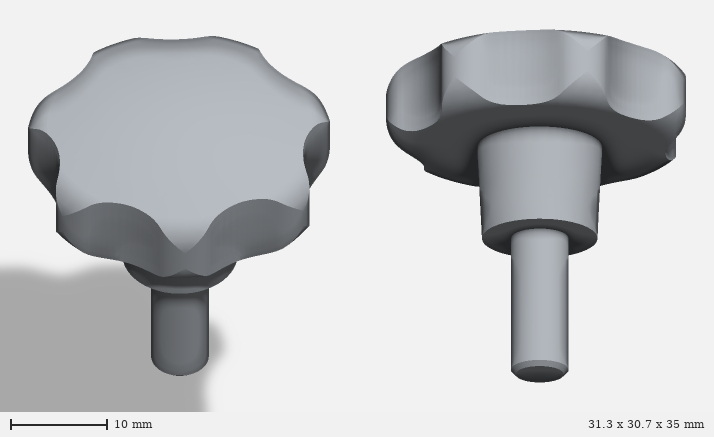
import cadquery as cq
import math

LOBE_COUNT = 7
HEAD_RADIUS = 16.0
LOBE_RADIUS = 3.0
VALLEY_RADIUS = 8.0
FIRST_LOBE_ANGLE = -90.0

HEAD_HEIGHT = 10.0
DOME_RADIUS = 50.0
RIM_RADIUS = 3.0

NECK_LENGTH = 10.0
NECK_TOP_DIAMETER = 13.0
NECK_BOTTOM_DIAMETER = 12.0
STUD_LENGTH = 15.0
STUD_DIAMETER = 6.0
STUD_CHAMFER = 0.5

PITCH_ANGLE = 360.0 / LOBE_COUNT
LOBE_CENTER_RADIUS = HEAD_RADIUS - LOBE_RADIUS


def polar(radius, degrees):
    angle = math.radians(degrees)
    return radius * math.cos(angle), radius * math.sin(angle)


def point_between(start, end, fraction):
    return tuple(a + (b - a) * fraction for a, b in zip(start, end))


def lobed_prism():
    """Straight prism with rounded lobes joined by tangent valley arcs."""
    half_pitch = math.radians(PITCH_ANGLE / 2)
    center_distance = LOBE_RADIUS + VALLEY_RADIUS
    half_chord = LOBE_CENTER_RADIUS * math.sin(half_pitch)
    chord_distance = LOBE_CENTER_RADIUS * math.cos(half_pitch)
    valley_center_radius = chord_distance + math.sqrt(center_distance**2 - half_chord**2)
    valley_floor_radius = valley_center_radius - VALLEY_RADIUS
    tangent_fraction = LOBE_RADIUS / center_distance

    def tangent_point(lobe_angle, valley_angle):
        lobe_center = polar(LOBE_CENTER_RADIUS, lobe_angle)
        valley_center = polar(valley_center_radius, valley_angle)
        return point_between(lobe_center, valley_center, tangent_fraction)

    first_valley_angle = FIRST_LOBE_ANGLE - PITCH_ANGLE / 2
    outline = cq.Workplane("XY").moveTo(*tangent_point(FIRST_LOBE_ANGLE, first_valley_angle))
    for index in range(LOBE_COUNT):
        lobe_angle = FIRST_LOBE_ANGLE + index * PITCH_ANGLE
        valley_angle = lobe_angle + PITCH_ANGLE / 2
        next_lobe_angle = lobe_angle + PITCH_ANGLE
        outline = outline.threePointArc(
            polar(HEAD_RADIUS, lobe_angle),
            tangent_point(lobe_angle, valley_angle),
        )
        outline = outline.threePointArc(
            polar(valley_floor_radius, valley_angle),
            tangent_point(next_lobe_angle, valley_angle),
        )
    return outline.close().extrude(HEAD_HEIGHT)


def domed_disc():
    """Revolved disc with a spherical top and rounded upper and lower rims."""
    rim_center_radius = HEAD_RADIUS - RIM_RADIUS
    dome_center_z = HEAD_HEIGHT - DOME_RADIUS
    touch_angle = math.asin(rim_center_radius / (DOME_RADIUS - RIM_RADIUS))
    upper_rim_z = dome_center_z + (DOME_RADIUS - RIM_RADIUS) * math.cos(touch_angle)

    def dome_point(angle):
        return DOME_RADIUS * math.sin(angle), dome_center_z + DOME_RADIUS * math.cos(angle)

    def rim_point(center_z, angle):
        return rim_center_radius + RIM_RADIUS * math.sin(angle), center_z + RIM_RADIUS * math.cos(angle)

    right_angle = math.pi / 2
    profile = (
        cq.Workplane("XZ")
        .lineTo(rim_center_radius, 0)
        .threePointArc(rim_point(RIM_RADIUS, 1.5 * right_angle), (HEAD_RADIUS, RIM_RADIUS))
        .lineTo(HEAD_RADIUS, upper_rim_z)
        .threePointArc(
            rim_point(upper_rim_z, (touch_angle + right_angle) / 2),
            dome_point(touch_angle),
        )
        .threePointArc(dome_point(touch_angle / 2), (0, HEAD_HEIGHT))
        .close()
    )
    return profile.revolve(360, (0, 0, 0), (0, 1, 0))


def neck_and_stud():
    """Tapered neck and chamfered stud as one revolved body."""
    neck_bottom_z = -NECK_LENGTH
    stud_bottom_z = neck_bottom_z - STUD_LENGTH
    stud_radius = STUD_DIAMETER / 2
    profile = (
        cq.Workplane("XZ")
        .lineTo(NECK_TOP_DIAMETER / 2, 0)
        .lineTo(NECK_BOTTOM_DIAMETER / 2, neck_bottom_z)
        .lineTo(stud_radius, neck_bottom_z)
        .lineTo(stud_radius, stud_bottom_z + STUD_CHAMFER)
        .lineTo(stud_radius - STUD_CHAMFER, stud_bottom_z)
        .lineTo(0, stud_bottom_z)
        .close()
    )
    return profile.revolve(360, (0, 0, 0), (0, 1, 0))


head = lobed_prism().intersect(domed_disc())
result = head.union(neck_and_stud())